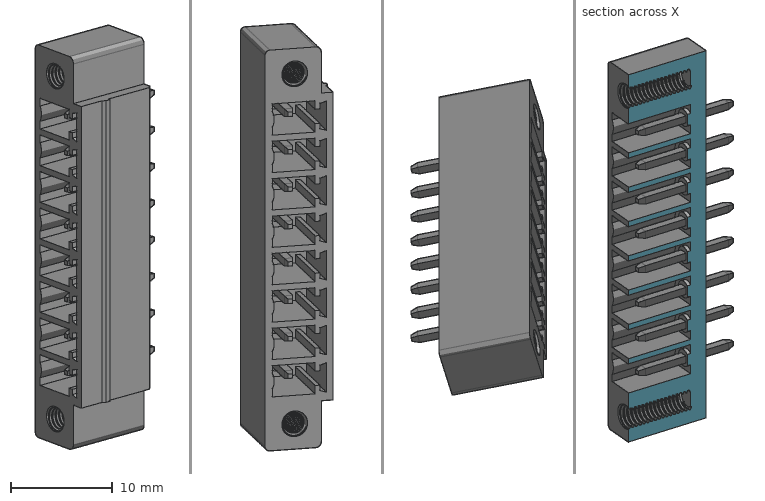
import cadquery as cq

length = 40.85
depth = 9.2
flange_width = 5.75
corner_radius = 0.5
wall_side_corner_radius = 0.6

wall_side = 6.95
wall_length = 31.4
wall_chamfer = 0.33
total_width = 7.2
ridge_foot = 2.7
ridge_front = 3.02
ridge_back = 3.5

contact_count = 8
row_span = 26.7
pitch = row_span / (contact_count - 1)
contact_x = 3.0
pin_width = 0.85
pin_height = 0.78
pin_tip_size = 0.45
pin_taper = 0.75
pin_front = 1.45
pin_back = 12.7
collar_radius = 0.9
collar_height = 0.4

cavity_depth = 7.35
cavity_left = 0.75
cavity_right = 5.1
cavity_height = 3.2
bulge_height = 1.6
bulge = 0.2
neck_right = 5.6
neck_height = 1.47
key_right = 6.25
key_inner_height = 2.57
key_outer_height = 3.0

screw_x = 3.02
screw_spacing = 35.68
thread_minor_radius = 1.02
thread_major_radius = 1.23
mouth_radius = 1.3
thread_pitch = 0.45
groove_width = 0.4
thread_crest = 0.12
thread_overlap = 0.05
screw_depth = 7.35

contact_heights = [i * pitch - row_span / 2 for i in range(contact_count)]


def xz_plane(y, x=0.0, z=0.0):
    """Workplane with local axes X and Z; negative lengths extrude towards +Y."""
    return cq.Workplane("XZ", origin=(x, y, z))


def make_housing():
    """Rounded flange block with the raised wall and its latch ridge."""
    flange = (
        xz_plane(0)
        .rect(flange_width, length)
        .extrude(-depth)
        .edges("|Y and <X")
        .fillet(corner_radius)
        .edges("|Y and >X")
        .fillet(wall_side_corner_radius)
        .translate((flange_width / 2, 0, 0))
    )
    wall_start = flange_width / 2
    wall = (
        cq.Workplane("XY", origin=(0, 0, -wall_length / 2))
        .moveTo(wall_start, 0)
        .lineTo(wall_side, 0)
        .lineTo(wall_side, ridge_foot)
        .lineTo(total_width, ridge_front)
        .lineTo(total_width, ridge_back)
        .lineTo(wall_side, ridge_back)
        .lineTo(wall_side, depth - wall_chamfer)
        .lineTo(wall_side - wall_chamfer, depth)
        .lineTo(wall_start, depth)
        .close()
        .extrude(wall_length)
    )
    return flange.union(wall)


def make_cavity(z):
    """Contact cavity with a T-shaped key slot on +X and an inward bulge on -X."""
    half = cavity_height / 2
    return (
        xz_plane(0, z=z)
        .moveTo(cavity_left, half)
        .lineTo(cavity_right, half)
        .lineTo(cavity_right, neck_height / 2)
        .lineTo(neck_right, neck_height / 2)
        .lineTo(neck_right, key_inner_height / 2)
        .lineTo(key_right, key_outer_height / 2)
        .lineTo(key_right, -key_outer_height / 2)
        .lineTo(neck_right, -key_inner_height / 2)
        .lineTo(neck_right, -neck_height / 2)
        .lineTo(cavity_right, -neck_height / 2)
        .lineTo(cavity_right, -half)
        .lineTo(cavity_left, -half)
        .lineTo(cavity_left, -bulge_height / 2)
        .threePointArc((cavity_left + bulge, 0), (cavity_left, bulge_height / 2))
        .close()
        .extrude(-cavity_depth)
    )


def make_tip(y_base, y_end, z):
    """Tapered pin end, narrowing from y_base to y_end."""
    return (
        xz_plane(y_base, contact_x, z)
        .rect(pin_width, pin_height)
        .workplane(offset=y_base - y_end)
        .rect(pin_tip_size, pin_tip_size)
        .loft()
    )


def make_contact(z):
    """Rectangular pin through the housing with a round collar on the cavity floor."""
    shank_front = pin_front + pin_taper
    shank_back = pin_back - pin_taper
    shank = xz_plane(shank_front, contact_x, z).rect(pin_width, pin_height).extrude(shank_front - shank_back)
    collar = xz_plane(cavity_depth, contact_x, z).circle(collar_radius).extrude(collar_height)
    front_tip = make_tip(shank_front, pin_front, z)
    back_tip = make_tip(shank_back, pin_back, z)
    return shank.union(collar).union(front_tip).union(back_tip)


def make_screw_hole(z):
    """Bore with a helical thread groove and a 45 degree countersink at the mating face."""
    bore = xz_plane(0).circle(thread_minor_radius).extrude(-screw_depth)
    mouth = cq.Workplane(
        cq.Solid.makeCone(mouth_radius, 0, mouth_radius, pnt=cq.Vector(0, 0, 0), dir=cq.Vector(0, 1, 0))
    )
    groove_root = thread_minor_radius - thread_overlap
    path = cq.Wire.makeHelix(thread_pitch, screw_depth, groove_root)
    groove = (
        cq.Workplane("XZ")
        .moveTo(groove_root, -groove_width / 2)
        .lineTo(thread_major_radius, -thread_crest / 2)
        .lineTo(thread_major_radius, thread_crest / 2)
        .lineTo(groove_root, groove_width / 2)
        .close()
        .sweep(cq.Workplane(obj=path), isFrenet=True)
        .rotate((0, 0, 0), (1, 0, 0), -90)
    )
    return bore.union(groove).union(mouth).translate((screw_x, 0, z))


result = make_housing()
for z in contact_heights:
    result = result.cut(make_cavity(z)).union(make_contact(z))
for z in (-screw_spacing / 2, screw_spacing / 2):
    result = result.cut(make_screw_hole(z))